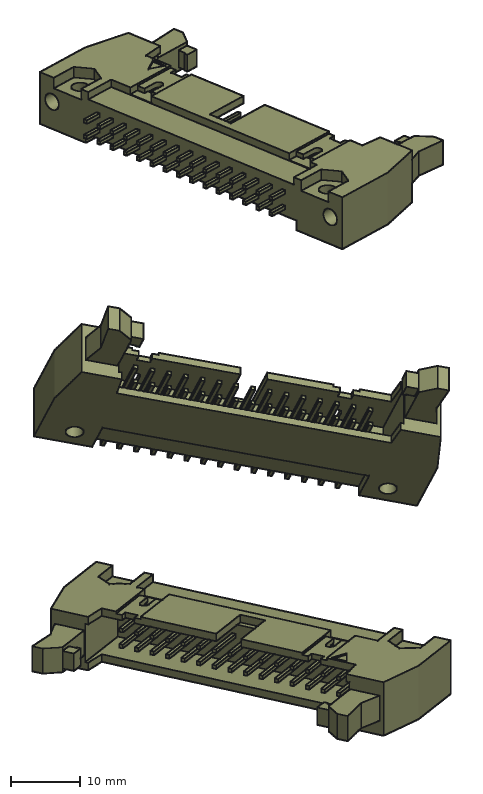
import cadquery as cq


length = 58.0
height = 8.5
half_length = length / 2
mid_z = height / 2
wall = 1.2
shroud_top_y = 13.85
shroud_half_length = 20.75

ear_top_y = 17.4
ear_shoulder_y = 10.0
ear_outer_x = 27.2
ear_inner_x = 21.1

socket_floor_y = 7.35
socket_half_length = 21.6
socket_height = height - 2 * wall

latch_thickness = 4.0
latch_inner_x = 21.75
latch_outer_x = 26.55
latch_tip_y = 25.8
latch_waist_x = 25.4
latch_waist_y = 20.95
latch_tip_outer_x = 25.8
latch_tip_inner_x = 24.05
hook_top_y = 24.05
hook_bottom_y = 22.15
hook_lip_x = 20.55
hook_end_x = 19.9
hook_lip_y = 22.0
hook_thickness = 2.8

pins_per_row = 15
pin_span = 35.55
pin_pitch = pin_span / (pins_per_row - 1)
pin_width = 0.6
pin_end_y = 13.5
pin_tail = 2.85

step_depth_y = 5.05
top_step_half_length = 19.7
bottom_step_half_length = 20.2
bottom_step_height = 1.55

hole_diameter = 2.6
mount_x = 23.7
mount_y = 2.85
nut_half_width = 2.6
nut_shoulder_y = 4.4
nut_peak_y = 5.9
nut_depth = 1.75
side_hole_x = 26.7
side_hole_z = 4.45
side_hole_depth = 5.2

key_width = 4.05
key_bottom_y = 6.45

track_centers_x = (-14.05, 16.4)
track_width = 4.0
track_depth = 0.35
track_step_y = 6.6
track_step_depth = 1.1
track_slot_width = 1.35
track_slot_end_y = 9.6
track_notch_width = 2.05
track_notch_depth = 1.05

triangle_x = -17.8
triangle_base_y = 13.4
triangle_tip_y = 10.95
triangle_half_width = 1.2
triangle_depth = 0.25


def box(x0, x1, y0, y1, z0, z1):
    """Box between two opposite corners."""
    return cq.Workplane("XY").box(x1 - x0, y1 - y0, z1 - z0, centered=False).translate((x0, y0, z0))


def prism(points, z0, z1):
    """Closed XY outline raised from z0 to z1."""
    return cq.Workplane("XY").workplane(offset=z0).polyline(points).close().extrude(z1 - z0)


def both_ends(shape):
    """The shape together with its mirror image at the other end of the part."""
    return shape.union(shape.mirror("YZ"))


def make_housing():
    right_outline = [
        (half_length, 0),
        (half_length, ear_shoulder_y),
        (ear_outer_x, ear_top_y),
        (ear_inner_x, ear_top_y),
        (shroud_half_length, shroud_top_y),
    ]
    left_outline = [(-x, y) for x, y in reversed(right_outline)]
    return prism(right_outline + left_outline, 0, height)


def make_socket():
    """Socket between the walls, open toward +Y and running out along the ears."""
    return box(
        -socket_half_length, socket_half_length,
        socket_floor_y, ear_top_y,
        mid_z - socket_height / 2, mid_z + socket_height / 2,
    )


def make_latch():
    """Right-hand latch standing on the end of its ear, with an inward hook at the tip."""
    arm = prism(
        [
            (latch_inner_x, ear_top_y),
            (latch_outer_x, ear_top_y),
            (latch_waist_x, latch_waist_y),
            (latch_tip_outer_x, latch_tip_y),
            (latch_tip_inner_x, latch_tip_y),
            (latch_inner_x, hook_top_y),
        ],
        mid_z - latch_thickness / 2,
        mid_z + latch_thickness / 2,
    )
    hook = prism(
        [
            (latch_inner_x, hook_top_y),
            (hook_end_x, hook_top_y),
            (hook_end_x, hook_lip_y),
            (hook_lip_x, hook_lip_y),
            (hook_lip_x, hook_bottom_y),
            (latch_inner_x, hook_bottom_y),
        ],
        mid_z - hook_thickness / 2,
        mid_z + hook_thickness / 2,
    )
    return arm.union(hook)


def make_steps():
    top_step = box(
        -top_step_half_length, top_step_half_length, 0, step_depth_y, height - wall, height
    )
    bottom_step = box(
        -bottom_step_half_length, bottom_step_half_length, 0, step_depth_y, 0, bottom_step_height
    )
    return top_step.union(bottom_step)


def make_mounting():
    """Through hole, open nut pocket and board-side blind hole of the right ear."""
    through_hole = cq.Workplane("XY").center(mount_x, mount_y).circle(hole_diameter / 2).extrude(height)
    nut_pocket = prism(
        [
            (mount_x - nut_half_width, 0),
            (mount_x + nut_half_width, 0),
            (mount_x + nut_half_width, nut_shoulder_y),
            (mount_x, nut_peak_y),
            (mount_x - nut_half_width, nut_shoulder_y),
        ],
        height - nut_depth,
        height,
    )
    side_hole = (
        cq.Workplane("XZ")
        .center(side_hole_x, side_hole_z)
        .circle(hole_diameter / 2)
        .extrude(-side_hole_depth)
    )
    return through_hole.union(nut_pocket).union(side_hole)


def make_keyway():
    return box(-key_width / 2, key_width / 2, key_bottom_y, shroud_top_y, height - wall, height)


def make_track(center_x):
    """Shallow track with a deeper foot, a round-ended slot and an edge notch."""
    left = center_x - track_width / 2
    right = center_x + track_width / 2
    track = box(left, right, step_depth_y, shroud_top_y, height - track_depth, height)
    foot = box(left, right, step_depth_y, track_step_y, height - track_step_depth, height)

    slot_radius = track_slot_width / 2
    slot_center_y = track_slot_end_y - slot_radius
    slot = box(
        center_x - slot_radius, center_x + slot_radius,
        track_step_y, slot_center_y,
        height - track_step_depth, height,
    )
    slot_through = box(
        center_x - slot_radius, center_x + slot_radius,
        socket_floor_y, slot_center_y,
        height - wall, height,
    )
    slot_end = (
        cq.Workplane("XY")
        .workplane(offset=height - wall)
        .center(center_x, slot_center_y)
        .circle(slot_radius)
        .extrude(wall)
    )
    notch = box(
        center_x - track_notch_width / 2, center_x + track_notch_width / 2,
        shroud_top_y - track_notch_depth, shroud_top_y,
        height - wall, height,
    )
    return track.union(foot).union(slot).union(slot_through).union(slot_end).union(notch)


def make_triangle():
    return prism(
        [
            (triangle_x - triangle_half_width, triangle_base_y),
            (triangle_x + triangle_half_width, triangle_base_y),
            (triangle_x, triangle_tip_y),
        ],
        height - triangle_depth,
        height,
    )


def make_pins():
    pin = (
        cq.Workplane("XY")
        .box(pin_width, pin_tail + pin_end_y, pin_width)
        .translate((0, (pin_end_y - pin_tail) / 2, 0))
    )
    pins = cq.Workplane("XY")
    for column in range(pins_per_row):
        x = column * pin_pitch - pin_span / 2
        for side in (-1, 1):
            z = mid_z + side * pin_pitch / 2
            pins = pins.add(pin.translate((x, 0, z)))
    return pins


result = make_housing()
result = result.cut(make_socket())
result = result.cut(make_steps())
result = result.cut(both_ends(make_mounting()))
result = result.cut(make_keyway())
for track_center in track_centers_x:
    result = result.cut(make_track(track_center))
result = result.cut(make_triangle())
result = result.union(both_ends(make_latch()))
for header_pin in make_pins().vals():
    result = result.union(cq.Workplane(header_pin))